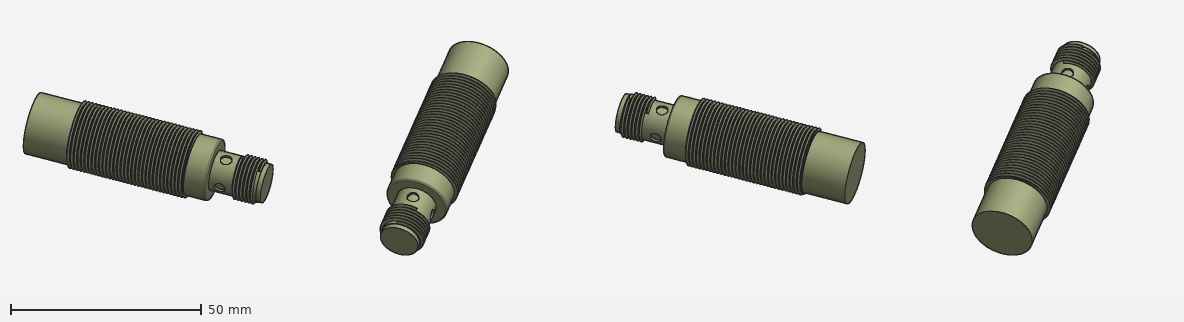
import cadquery as cq

length = 64.8
barrel_end = 50.5
pitch_run = 35.0
pitch_run_turns = 35
thread_pitch = pitch_run / pitch_run_turns

barrel_radius = 8.35
barrel_thread_radius = 9.15
barrel_thread_start = 12.0
barrel_thread_end = 44.45
barrel_helix_start = 11.65
barrel_end_round = 0.4

neck_radius = 5.45
plug_thread_radius = 6.15
plug_helix_start = 57.0
plug_helix_length = 6.1
plug_helix_angle = 157.0
tip_length = 1.3
tip_radius = 5.25

window_count = 4
window_x = 53.5
window_diameter = 3.1
window_depth = 0.65

ridge_half_width = 0.4
clip_margin = 0.65
root_overlap = 0.05


def cylinder(start, end, radius):
    """Cylinder about the X axis between two X positions."""
    return cq.Workplane("YZ", origin=(start, 0, 0)).circle(radius).extrude(end - start)


def thread_ridge(root_radius, crest_radius, start, run, angle):
    """Right-hand helical ridge about X; at angle zero it begins on the -Z side."""
    inner_radius = root_radius - root_overlap
    half_base = ridge_half_width * (crest_radius - inner_radius) / (crest_radius - root_radius)
    path = cq.Wire.makeHelix(thread_pitch, run, root_radius)
    ridge = (
        cq.Workplane("XZ")
        .polyline([(inner_radius, -half_base), (crest_radius, 0), (inner_radius, half_base)])
        .close()
        .sweep(cq.Workplane(obj=path), isFrenet=True)
    )
    return (
        ridge.rotate((0, 0, 0), (0, 1, 0), 90)
        .rotate((0, 0, 0), (1, 0, 0), angle)
        .translate((start, 0, 0))
    )


def make_barrel():
    """Sensor barrel, its thread cut off square at both ends."""
    core = cylinder(0, barrel_end, barrel_radius).faces(">X").fillet(barrel_end_round)
    helix_run = barrel_thread_end + thread_pitch - barrel_helix_start
    ridge = thread_ridge(barrel_radius, barrel_thread_radius, barrel_helix_start, helix_run, 0)
    clip_radius = barrel_thread_radius + clip_margin
    ridge = ridge.intersect(cylinder(barrel_thread_start, barrel_thread_end, clip_radius))
    return core.union(ridge)


def make_plug():
    """Connector plug with round-floored indicator windows, thread and a slightly smaller tip."""
    tip_start = length - tip_length
    plug = cylinder(barrel_end, tip_start, neck_radius).union(cylinder(tip_start, length, tip_radius))
    window = (
        cq.Workplane("XY", origin=(window_x, 0, 0))
        .circle(window_diameter / 2)
        .extrude(2 * neck_radius)
        .cut(cylinder(barrel_end, tip_start, neck_radius - window_depth))
    )
    for index in range(window_count):
        plug = plug.cut(window.rotate((0, 0, 0), (1, 0, 0), index * 360 / window_count))
    ridge = thread_ridge(
        neck_radius, plug_thread_radius, plug_helix_start, plug_helix_length, plug_helix_angle
    )
    return plug.union(ridge)


barrel = make_barrel()
plug = make_plug()

result = cq.Compound.makeCompound([barrel.solids().val(), plug.solids().val()])